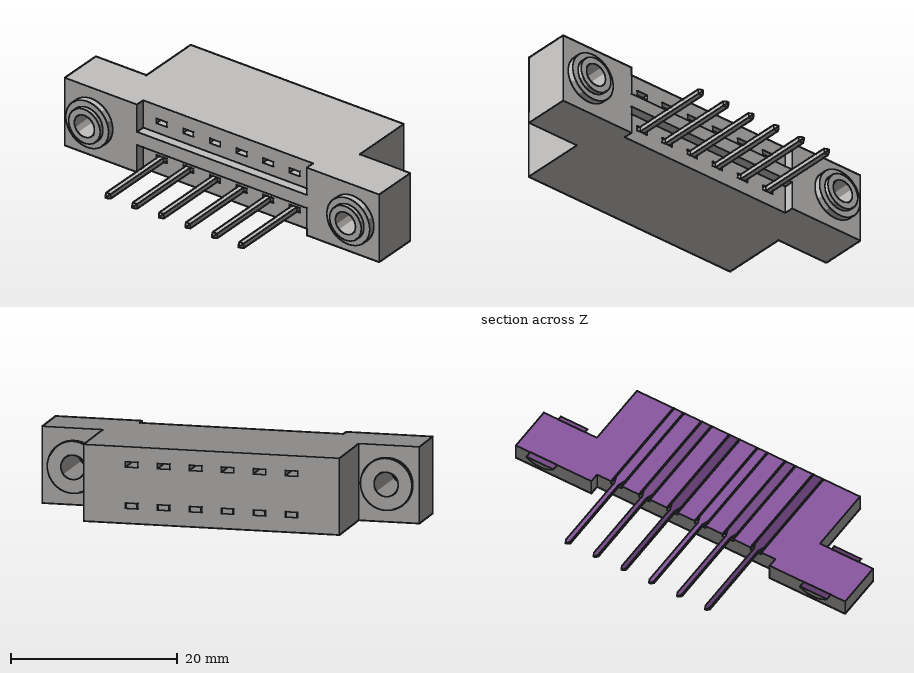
import cadquery as cq

length = 46.8
height = 9.4
housing_depth = 15.25
ear_depth = 6.3
block_length = 31.72

recess_length = 25.25
recess_height = 3.8
recess_depth = 1.25

contact_count = 6
contact_span = 19.8
contact_pitch = contact_span / (contact_count - 1)
row_spacing = 5.05
slot_width = 1.55
slot_height = 0.65

bushing_spacing = 38.85
bore_diameter = 3.0
barrel_diameter = 4.7
flange_diameter = 6.35
front_flange_thickness = 0.85
rear_flange_thickness = 0.55
barrel_projection = 1.4

blade_width = 1.3
tail_size = slot_height
shoulder_length = 0.95
tail_projection = 9.9
tip_length = 0.4
tip_size = 0.3

contact_xs = [i * contact_pitch - contact_span / 2 for i in range(contact_count)]
bushing_xs = [-bushing_spacing / 2, bushing_spacing / 2]


def box_from_front(size_x, size_y, size_z):
    """Box centred on X and Z that runs toward +Y from the front face."""
    return cq.Workplane("XY").box(size_x, size_y, size_z).translate((0, size_y / 2, 0))


def cylinder_along_y(diameter, start_y, end_y):
    """Cylinder on the Y axis between two Y positions."""
    end_plane = cq.Workplane("XZ", origin=(0, end_y, 0))
    return end_plane.circle(diameter / 2).extrude(end_y - start_y)


def make_housing():
    """Block and ears with front recesses, through slots and bushing holes."""
    ears = box_from_front(length, ear_depth, height)
    block = box_from_front(block_length, housing_depth, height)
    body = ears.union(block)

    recess = box_from_front(recess_length, recess_depth, recess_height)
    recess_z = (height - recess_height) / 2
    slot = box_from_front(slot_width, housing_depth, slot_height)
    for side in (-1, 1):
        body = body.cut(recess.translate((0, 0, side * recess_z)))
        for x in contact_xs:
            body = body.cut(slot.translate((x, 0, side * row_spacing / 2)))

    barrel_hole = cylinder_along_y(barrel_diameter, 0, ear_depth)
    for x in bushing_xs:
        body = body.cut(barrel_hole.translate((x, 0, 0)))
    return body


def make_bushing(x):
    """Bored barrel through an ear, with a flange against each side of it."""
    rear_end = ear_depth + rear_flange_thickness
    barrel = cylinder_along_y(barrel_diameter, -barrel_projection, rear_end)
    front_flange = cylinder_along_y(flange_diameter, -front_flange_thickness, 0)
    rear_flange = cylinder_along_y(flange_diameter, ear_depth, rear_end)
    bore = cylinder_along_y(bore_diameter, -barrel_projection, rear_end)
    bushing = barrel.union(front_flange).union(rear_flange).cut(bore)
    return bushing.translate((x, 0, 0))


def make_contact(x):
    """Lower-row contact: slot blade, tapered shoulders, square tail and pyramid tip."""
    shoulder_y = recess_depth + shoulder_length
    tip_base_y = tip_length - tail_projection
    half_outline = [
        (blade_width / 2, housing_depth),
        (blade_width / 2, shoulder_y),
        (tail_size / 2, recess_depth),
        (tail_size / 2, tip_base_y),
    ]
    outline = half_outline + [(-px, py) for px, py in reversed(half_outline)]
    shank = cq.Workplane("XY").polyline(outline).close().extrude(tail_size / 2, both=True)
    tip = (
        cq.Workplane("XZ", origin=(0, tip_base_y, 0))
        .rect(tail_size, tail_size)
        .workplane(offset=tip_length)
        .rect(tip_size, tip_size)
        .loft()
    )
    return shank.union(tip).translate((x, 0, -row_spacing / 2))


housing = make_housing()
bushings = [make_bushing(x) for x in bushing_xs]
contacts = [make_contact(x) for x in contact_xs]

result = cq.Compound.makeCompound([body.val() for body in [housing, *bushings, *contacts]])